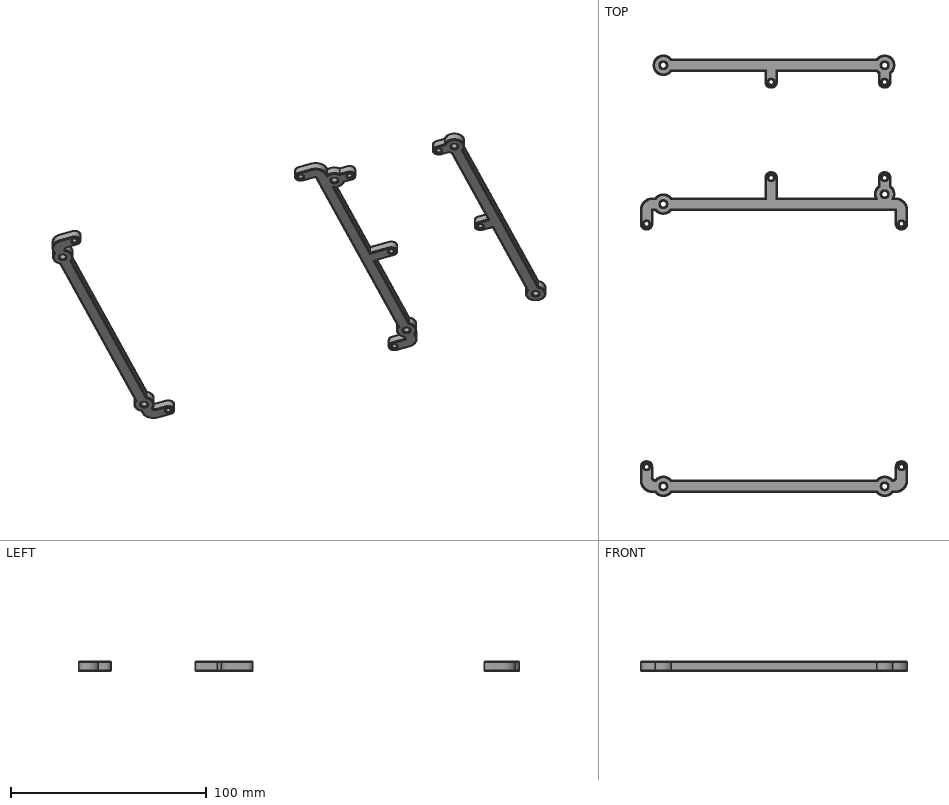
import cadquery as cq

THICKNESS = 5.0
BAR_WIDTH = 6.0
BAR_HALF = BAR_WIDTH / 2
BOSS_DIAMETER = 10.1
BOSS_HOLE = 3.4
TIP_HOLE = 2.7
EDGE_CHAMFER = 0.5
ELBOW_OUTER_RADIUS = BAR_WIDTH
ELBOW_INNER_RADIUS = 1.5

TOTAL_WIDTH = 136.0
TOTAL_LENGTH = 225.0

BOSS_X = 56.5
END_ARM_X = TOTAL_WIDTH / 2 - BAR_HALF
ELBOW_X = END_ARM_X - BAR_HALF
CENTER_ARM_X = -1.46

BACK_BAR_Y = (TOTAL_LENGTH - BOSS_DIAMETER) / 2
BACK_ARM_REACH = 8.5
BACK_TIP_Y = BACK_BAR_Y - BACK_ARM_REACH
MIDDLE_BAR_BACK_EDGE = 39.5
MIDDLE_BAR_Y = MIDDLE_BAR_BACK_EDGE - BAR_HALF
MIDDLE_OFFSET_BOSS_Y = 41.6
MIDDLE_BACK_TIP_Y = 50.0
MIDDLE_FRONT_TIP_Y = 26.5
FRONT_BAR_Y = -BACK_BAR_Y
FRONT_ARM_REACH = 10.0
FRONT_TIP_Y = FRONT_BAR_Y + FRONT_ARM_REACH

SIDES = (-1, 1)
TOWARD_BACK = 1
TOWARD_FRONT = -1


def disc(x, y, diameter):
    return cq.Workplane("XY").center(x, y).circle(diameter / 2).extrude(THICKNESS)


def plate(x_center, y_center, x_size, y_size):
    return cq.Workplane("XY").center(x_center, y_center).rect(x_size, y_size).extrude(THICKNESS)


def bar(half_length, y):
    """Straight bar along X, centered on x = 0."""
    return plate(0, y, 2 * half_length, BAR_WIDTH)


def arm(x, y_root, y_tip):
    """Straight arm along Y that ends in a half-round tip."""
    shank = plate(x, (y_root + y_tip) / 2, BAR_WIDTH, abs(y_tip - y_root))
    return shank.union(disc(x, y_tip, BAR_WIDTH))


def end_arm(side, y_bar, y_tip, direction):
    """Arm at one end of a bar, with the quarter-round elbow that joins them."""
    y_elbow = y_bar + direction * BAR_HALF
    corner = plate(side * END_ARM_X, y_bar, BAR_WIDTH, BAR_WIDTH)
    elbow = corner.intersect(disc(side * ELBOW_X, y_elbow, 2 * ELBOW_OUTER_RADIUS))
    return elbow.union(arm(side * END_ARM_X, y_elbow, y_tip))


def elbow_fillet(side, y_bar, direction):
    """Concave fill in the inner corner of an elbow."""
    x = side * ELBOW_X
    y = y_bar + direction * BAR_HALF
    square = plate(
        x - side * ELBOW_INNER_RADIUS / 2,
        y + direction * ELBOW_INNER_RADIUS / 2,
        ELBOW_INNER_RADIUS,
        ELBOW_INNER_RADIUS,
    )
    x_round = x - side * ELBOW_INNER_RADIUS
    y_round = y + direction * ELBOW_INNER_RADIUS
    return square.cut(disc(x_round, y_round, 2 * ELBOW_INNER_RADIUS))


def add_bosses(body, points):
    for x, y in points:
        body = body.union(disc(x, y, BOSS_DIAMETER))
    return body


def drill(body, points, diameter):
    for x, y in points:
        body = body.cut(disc(x, y, diameter))
    return body


def finish(blank, bosses, tips):
    """Drill the bosses and tips, then chamfer every top and bottom edge, hole rims included."""
    body = drill(blank.clean(), bosses, BOSS_HOLE)
    body = drill(body, tips, TIP_HOLE)
    return body.faces("<Z or >Z").chamfer(EDGE_CHAMFER)


def make_back_link():
    """Bar between two bosses, with a center arm and a right arm toward the front."""
    bosses = [(side * BOSS_X, BACK_BAR_Y) for side in SIDES]
    tips = [(x, BACK_TIP_Y) for x in (CENTER_ARM_X, BOSS_X)]
    body = add_bosses(bar(BOSS_X, BACK_BAR_Y), bosses)
    for x, y_tip in tips:
        body = body.union(arm(x, BACK_BAR_Y, y_tip))
    return finish(body, bosses, tips)


def make_middle_link():
    """Bar with two end arms toward the front, sharp in their inner corners, and two arms toward the back."""
    bosses = [(-BOSS_X, MIDDLE_BAR_Y), (BOSS_X, MIDDLE_OFFSET_BOSS_Y)]
    back_tips = [(x, MIDDLE_BACK_TIP_Y) for x in (CENTER_ARM_X, BOSS_X)]
    front_tips = [(side * END_ARM_X, MIDDLE_FRONT_TIP_Y) for side in SIDES]
    body = add_bosses(bar(ELBOW_X, MIDDLE_BAR_Y), bosses)
    for x, y_tip in back_tips:
        body = body.union(arm(x, MIDDLE_BAR_Y, y_tip))
    for side in SIDES:
        body = body.union(end_arm(side, MIDDLE_BAR_Y, MIDDLE_FRONT_TIP_Y, TOWARD_FRONT))
    return finish(body, bosses, back_tips + front_tips)


def make_front_link():
    """Bar with a boss near each end and two filleted end arms toward the back."""
    bosses = [(side * BOSS_X, FRONT_BAR_Y) for side in SIDES]
    tips = [(side * END_ARM_X, FRONT_TIP_Y) for side in SIDES]
    body = add_bosses(bar(ELBOW_X, FRONT_BAR_Y), bosses)
    for side in SIDES:
        body = body.union(end_arm(side, FRONT_BAR_Y, FRONT_TIP_Y, TOWARD_BACK))
        body = body.union(elbow_fillet(side, FRONT_BAR_Y, TOWARD_BACK))
    return finish(body, bosses, tips)


back_link = make_back_link()
middle_link = make_middle_link()
front_link = make_front_link()

result = cq.Compound.makeCompound([back_link.val(), middle_link.val(), front_link.val()])